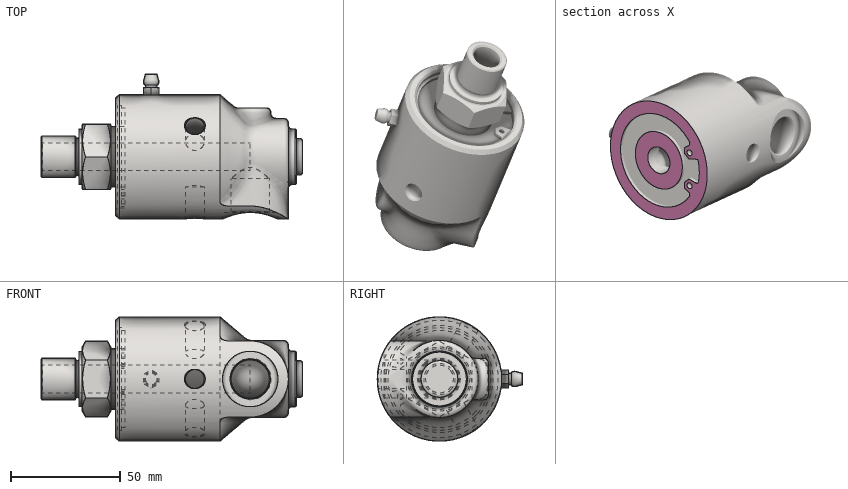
import cadquery as cq
import math


overlap = 0.5
pick = 0.1

overall_length = 119.82
overall_width = 66.41
body_dia = 57.0
body_r = body_dia / 2
body_start_x = 34.1
body_chamfer_length = 1.8
body_chamfer_height = 1.6
cone_start_x = 82.0
cone_angle = 40.4
tail_r = 17.65
waist_fillet = 5.6
tail_fillet = 2.3

port_x = 95.85
boss_r = 17.45
boss_root_x = 77.0
boss_blend = 5.3
spotface_dia = 25.4
spotface_y = -math.sqrt(body_r**2 - (spotface_dia / 2) ** 2)
port_dia = 17.48
port_chamfer = 0.5
port_core_r = 10.0
plug_boss_dia = 19.0
plug_boss_top_y = 22.4
plug_boss_round = 2.2
plug_boss_blend = 2.0
tail_margin = 0.05
tail_end_x = port_x + boss_r + tail_margin

cap_r = 12.8
cap_end_x = 116.95
cap_blend = 1.5
cap_chamfer = 0.5
stub_r = 8.4
stub_round = 1.2

thread_dia = 19.05
thread_length = 16.1
thread_chamfer = 0.5
neck_dia = 17.0
neck_fillet = 0.7
washer_start_x = 17.4
washer_dia = 25.4
hex_start_x = 18.9
hex_end_x = 32.0
hex_across_flats = 30.0
hex_chamfer_dia = 29.3
hex_chamfer_angle = 30.0
collar_dia = 27.8
bore_dia = 12.7
bore_chamfer = 0.8

recess_dia = 47.07
recess_chamfer = 1.0
recess_depth = 4.5
ring_thickness = 1.75
ring_inner_r = 22.3
ring_hole_dia = 2.64
ring_hole_y = -18.0
ring_hole_z = 8.1
ring_gap_z = 7.3
ring_lug = [
    (-25.0, 6.6),
    (-17.7, 4.8),
    (-15.0, 7.0),
    (-15.0, 10.1),
    (-17.8, 11.8),
    (-18.0, 13.6),
    (-20.5, 13.6),
]

weep_x = 70.5
weep_dia = 8.6
weep_countersink = 0.5
weep_core_r = 13.9
weep_angles = (60, 180, 300)

fitting_x = 50.5
fitting_hex_flats = 7.2
fitting_hex_top = 31.7
fitting_neck_dia = 5.36
fitting_bulge_start = 32.9
fitting_bulge_r = 3.0
fitting_shoulder = 34.9
fitting_shoulder_r = 3.5
fitting_top = overall_width - body_r
fitting_tip_r = 2.65


def cylinder_x(radius, start, end):
    """Cylinder on the X axis between two X positions."""
    return cq.Workplane("YZ").workplane(offset=start).circle(radius).extrude(end - start)


def cone_x(start_r, end_r, start, end):
    """Cone frustum on the X axis between two X positions."""
    axis = cq.Vector(1, 0, 0)
    cone = cq.Solid.makeCone(start_r, end_r, end - start, cq.Vector(start, 0, 0), axis)
    return cq.Workplane(obj=cone)


def box_edges(x_range, y_range):
    """Selector for edges whose centre lies in the given X and Y ranges."""
    low = (x_range[0], y_range[0], -body_r)
    high = (x_range[1], y_range[1], body_r)
    return cq.selectors.BoxSelector(low, high)


def make_turned_body(end_x):
    """Chamfered cylinder, cone and tail, with the tail running to end_x."""
    angle = math.radians(cone_angle)
    waist_x = cone_start_x + (body_r - tail_r) / math.tan(angle)
    tangent_length = waist_fillet * math.tan(angle / 2)
    arc_start_x = waist_x - tangent_length * math.cos(angle)
    arc_start_r = tail_r + tangent_length * math.sin(angle)
    return (
        cq.Workplane("XY")
        .moveTo(body_start_x, 0)
        .lineTo(body_start_x, body_r - body_chamfer_height)
        .lineTo(body_start_x + body_chamfer_length, body_r)
        .lineTo(cone_start_x, body_r)
        .lineTo(arc_start_x, arc_start_r)
        .tangentArcPoint((waist_x + tangent_length, tail_r), relative=False)
        .lineTo(end_x, tail_r)
        .lineTo(end_x, 0)
        .close()
        .revolve(360, (0, 0, 0), (1, 0, 0))
    )


def make_port_boss():
    """Round-ended boss reaching from the axis to the body surface on -Y."""
    return (
        cq.Workplane("XZ")
        .moveTo(boss_root_x, boss_r)
        .lineTo(port_x, boss_r)
        .threePointArc((port_x + boss_r, 0), (port_x, -boss_r))
        .lineTo(boss_root_x, -boss_r)
        .close()
        .extrude(body_dia)
        .intersect(cylinder_x(body_r, body_start_x, overall_length))
    )


def make_plug_boss():
    """Round boss on +Y with a rounded rim."""
    return (
        cq.Workplane("XZ")
        .center(port_x, 0)
        .circle(plug_boss_dia / 2)
        .extrude(-plug_boss_top_y)
        .faces(">Y")
        .edges()
        .fillet(plug_boss_round)
    )


def blend_seam(solid, selector, radius):
    """Fillet the curved seam where a boss meets the turned body."""
    seam = [
        edge
        for edge in solid.edges(selector).vals()
        if edge.geomType() in ("BSPLINE", "HYPERBOLA")
    ]
    return solid.newObject(seam).fillet(radius)


def make_housing():
    """Body with both bosses blended in and the rear end rounded.

    The tail starts out longer than needed so that the port boss blend runs
    all the way round, and is then cut to length.
    """
    housing = make_turned_body(overall_length).union(make_port_boss())
    housing = blend_seam(housing, box_edges((cone_start_x, overall_length), (-boss_r, 0)), boss_blend)
    housing = housing.intersect(cylinder_x(body_dia, body_start_x, tail_end_x))
    housing = housing.union(make_plug_boss())
    plug_seam_y = (plug_boss_dia / 2, plug_boss_top_y - pick)
    housing = blend_seam(housing, box_edges((cone_start_x, tail_end_x), plug_seam_y), plug_boss_blend)
    end_x = (tail_end_x - pick, tail_end_x + pick)
    return housing.edges(box_edges(end_x, (-boss_r / 2, boss_r / 2))).fillet(tail_fillet)


def make_rear_cap():
    """Cap with a concave blend into the tail, and a stub with a rounded rim."""
    rim_start_x = cap_end_x - cap_chamfer
    cap = (
        cq.Workplane("XY")
        .moveTo(tail_end_x - overlap, 0)
        .lineTo(tail_end_x - overlap, cap_r + cap_blend)
        .lineTo(tail_end_x, cap_r + cap_blend)
        .radiusArc((tail_end_x + cap_blend, cap_r), -cap_blend)
        .lineTo(rim_start_x, cap_r)
        .lineTo(cap_end_x, cap_r - cap_chamfer)
        .lineTo(cap_end_x, 0)
        .close()
        .revolve(360, (0, 0, 0), (1, 0, 0))
    )
    stub = cylinder_x(stub_r, cap_end_x - overlap, overall_length).faces(">X").edges().fillet(stub_round)
    return cap.union(stub)


def cut_recess(housing):
    """Chamfered front recess around the collar."""
    recess_r = recess_dia / 2
    recess = cylinder_x(recess_r, body_start_x, body_start_x + recess_depth)
    mouth = cone_x(recess_r + recess_chamfer, recess_r, body_start_x, body_start_x + recess_chamfer)
    return housing.cut(recess).cut(mouth)


def make_retaining_ring():
    """Open ring with two drilled lugs, seated on the recess floor."""
    floor_x = body_start_x + recess_depth
    start_x = floor_x - ring_thickness
    disc = cylinder_x(recess_dia / 2 + overlap, start_x, floor_x + overlap)
    ring = disc.cut(cylinder_x(ring_inner_r, start_x, floor_x + overlap))
    plane = cq.Workplane("YZ").workplane(offset=start_x)
    gap = plane.polyline([(0, 0), (-body_r, ring_gap_z), (-body_r, -ring_gap_z)]).close()
    ring = ring.cut(gap.extrude(ring_thickness + overlap))
    for side in (1, -1):
        outline = [(y, side * z) for y, z in ring_lug]
        lug = plane.polyline(outline).close().extrude(ring_thickness + overlap)
        ring = ring.union(lug.intersect(disc))
        hole = plane.center(ring_hole_y, side * ring_hole_z).circle(ring_hole_dia / 2)
        ring = ring.cut(hole.extrude(ring_thickness))
    return ring


def make_hex_nut():
    """Hexagonal nut chamfered at both ends, flats facing +Y and -Y."""
    corner_r = hex_across_flats / math.sqrt(3)
    face_r = hex_chamfer_dia / 2
    taper = (corner_r - face_r) * math.tan(math.radians(hex_chamfer_angle))
    envelope = (
        cq.Workplane("XY")
        .moveTo(hex_start_x, 0)
        .lineTo(hex_start_x, face_r)
        .lineTo(hex_start_x + taper, corner_r)
        .lineTo(hex_end_x - taper, corner_r)
        .lineTo(hex_end_x, face_r)
        .lineTo(hex_end_x, 0)
        .close()
        .revolve(360, (0, 0, 0), (1, 0, 0))
    )
    prism = (
        cq.Workplane("YZ")
        .workplane(offset=hex_start_x)
        .transformed(rotate=(0, 0, 90))
        .polygon(6, 2 * corner_r)
        .extrude(hex_end_x - hex_start_x)
    )
    return prism.intersect(envelope)


def make_shaft():
    """Threaded end, neck, washer face, nut and collar in line."""
    thread = cylinder_x(thread_dia / 2, 0, thread_length).edges().chamfer(thread_chamfer)
    neck = cylinder_x(neck_dia / 2, thread_length - overlap, washer_start_x + overlap)
    neck = neck.union(cylinder_x(washer_dia / 2, washer_start_x, hex_start_x + overlap))
    corner = box_edges((washer_start_x - pick, washer_start_x + pick), (-body_r, body_r))
    neck_corner = neck.edges(corner).edges(cq.selectors.RadiusNthSelector(0))
    shaft = thread.union(neck_corner.fillet(neck_fillet))
    shaft = shaft.union(make_hex_nut())
    collar_end_x = body_start_x + recess_depth + overlap
    return shaft.union(cylinder_x(collar_dia / 2, hex_end_x - overlap, collar_end_x))


def cut_bore(solid):
    """Blind axial bore with a chamfered mouth, ending at the port axis."""
    bore_r = bore_dia / 2
    solid = solid.cut(cylinder_x(bore_r, 0, port_x))
    return solid.cut(cone_x(bore_r + bore_chamfer, bore_r, 0, bore_chamfer))


def cut_port(solid):
    """Spotfaced side port on -Y, ending on the cylindrical inner core."""
    plane = cq.Workplane("XZ", origin=(port_x, spotface_y, 0))
    solid = solid.cut(plane.circle(spotface_dia / 2).extrude(body_r))
    hole = cq.Workplane("XZ", origin=(port_x, 0, 0)).circle(port_dia / 2).extrude(body_r)
    solid = solid.cut(hole.cut(cylinder_x(port_core_r, 0, overall_length)))
    mouth = cq.Solid.makeCone(
        port_dia / 2 + port_chamfer,
        port_dia / 2,
        port_chamfer,
        cq.Vector(port_x, spotface_y, 0),
        cq.Vector(0, 1, 0),
    )
    return solid.cut(cq.Workplane(obj=mouth))


def make_weep_hole():
    """Cutter for one radial hole along +Y, ending on the inner core."""
    radius = weep_dia / 2
    hole = cq.Workplane("XZ", origin=(weep_x, 0, 0)).circle(radius).extrude(-body_dia)
    hole = hole.cut(cylinder_x(weep_core_r, 0, overall_length))
    mouth = cq.Solid.makeCone(
        radius,
        radius + 2 * weep_countersink,
        2 * weep_countersink,
        cq.Vector(weep_x, body_r - weep_countersink, 0),
        cq.Vector(0, 1, 0),
    )
    return hole.union(cq.Workplane(obj=mouth))


def make_grease_fitting():
    """Small hexagon with a necked, bulged nipple on the +Y side."""
    hexagon = (
        cq.Workplane("XZ", origin=(fitting_x, body_r - overlap, 0))
        .transformed(rotate=(0, 0, 90))
        .polygon(6, 2 * fitting_hex_flats / math.sqrt(3))
        .extrude(-(fitting_hex_top - body_r + overlap))
    )
    bulge_mid_y = (fitting_bulge_start + fitting_shoulder) / 2
    nipple = (
        cq.Workplane("XY", origin=(fitting_x, 0, 0))
        .moveTo(0, body_r)
        .lineTo(fitting_neck_dia / 2, body_r)
        .lineTo(fitting_neck_dia / 2, fitting_bulge_start)
        .lineTo(fitting_bulge_r, fitting_bulge_start)
        .threePointArc((fitting_shoulder_r, bulge_mid_y), (fitting_shoulder_r, fitting_shoulder))
        .lineTo(fitting_tip_r, fitting_top)
        .lineTo(0, fitting_top)
        .close()
        .revolve(360, (0, 0, 0), (0, 1, 0))
    )
    return hexagon.union(nipple)


result = cut_recess(make_housing())
result = result.union(make_rear_cap())
result = result.union(make_shaft())
result = result.union(make_retaining_ring())
result = cut_bore(result)
result = cut_port(result)
weep_hole = make_weep_hole()
for angle in weep_angles:
    result = result.cut(weep_hole.rotate((0, 0, 0), (1, 0, 0), angle))
result = result.union(make_grease_fitting())